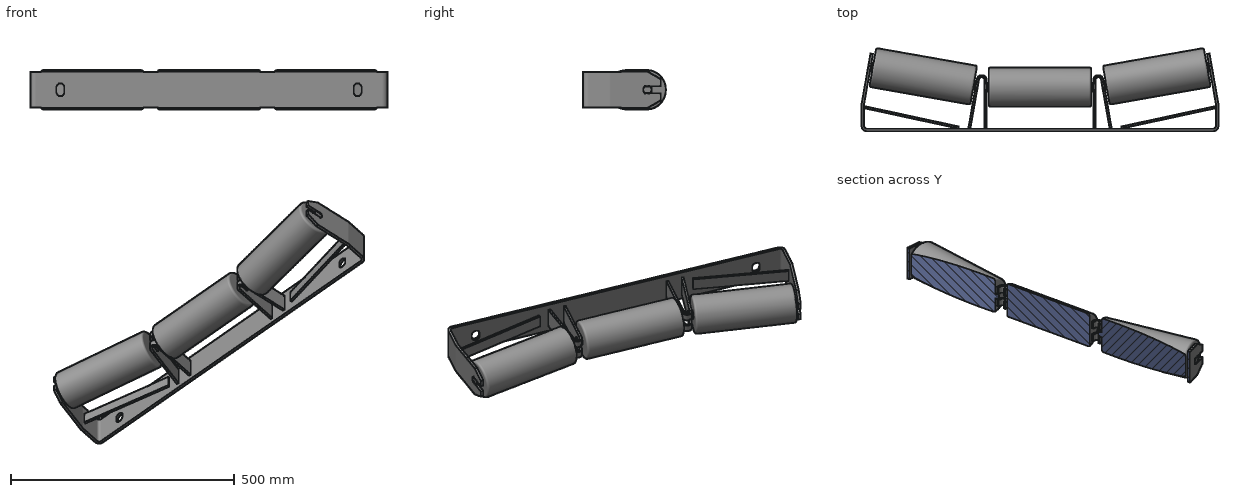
import cadquery as cq
import math

FRAME_SHEET = 6.0
INNER_SHEET = 5.0
BEND_INNER_RADIUS = 6.0

ROLLER_DIAMETER = 89.0
ROLLER_LENGTH = 230.0
ROLLER_EDGE_RADIUS = 5.0
SIDE_GAP = 4.5
TILT = 10.0
CENTRE_AXIS_Y = 99.0
WING_X = 261.6
WING_Y = 123.13

SHAFT_DIAMETER = 20.0
SHAFT_FLATS = 14.0
SLOT_WIDTH = 16.0
PLATE_NEAR = ROLLER_LENGTH / 2 + SIDE_GAP
WALL_FAR = PLATE_NEAR + FRAME_SHEET
SHAFT_HALF_LENGTH = PLATE_NEAR + INNER_SHEET

FRAME_LENGTH = 800.0
FRAME_WIDTH = 80.0
FRAME_BEND_RADIUS = BEND_INNER_RADIUS + FRAME_SHEET
WALL_ABOVE_AXIS = 30.0
WALL_CORNER_RUN = 28.0
WALL_CORNER_DROP = 16.0
MOUNT_SLOT_X = 333.0
MOUNT_SLOT_WIDTH = 18.0
MOUNT_SLOT_HEIGHT = 28.0

LOOP_OUTER_RADIUS = BEND_INNER_RADIUS + INNER_SHEET
LOOP_WIDTH = 50.0

BRACE_TILT = 12.2
BRACE_WIDTH = 30.0
BRACE_FOOT_X = 183.0

CUT_MARGIN = 3.0
BEND_SEARCH = 1.0

SIN_TILT = math.sin(math.radians(TILT))
COS_TILT = math.cos(math.radians(TILT))


def wing_point(along, across):
    """XY point of the right wing: along its axis (outward) and across it (toward +Y)."""
    x = WING_X + along * COS_TILT - across * SIN_TILT
    y = WING_Y + along * SIN_TILT + across * COS_TILT
    return x, y


def across_at_x(along, x):
    """Across coordinate where the plate face at `along` crosses the given X."""
    return (WING_X + along * COS_TILT - x) / SIN_TILT


def across_at_y(along, y):
    """Across coordinate where the plate face at `along` crosses the given Y."""
    return (y - WING_Y - along * SIN_TILT) / COS_TILT


def to_wing(body):
    """Move a body built about the origin, axis along X, to the right wing."""
    return body.rotate((0, 0, 0), (0, 0, 1), TILT).translate((WING_X, WING_Y, 0))


def to_centre(body):
    """Move a body built about the origin, axis along X, to the centre roller."""
    return body.translate((0, CENTRE_AXIS_Y, 0))


def mirrored(body):
    """Copy of a right-hand body on the left side."""
    return body.mirror("YZ")


def shaft_rod(half_length):
    """Round rod along X, centred on the origin."""
    return (
        cq.Workplane("YZ", origin=(-half_length, 0, 0))
        .circle(SHAFT_DIAMETER / 2)
        .extrude(2 * half_length)
    )


def roller():
    """Drum with its shaft, axis along X, centred on the origin.

    The shaft is round to halfway across the side gap and flatted from there to its ends.
    """
    drum = (
        cq.Workplane("YZ", origin=(-ROLLER_LENGTH / 2, 0, 0))
        .circle(ROLLER_DIAMETER / 2)
        .extrude(ROLLER_LENGTH)
        .edges("%CIRCLE")
        .fillet(ROLLER_EDGE_RADIUS)
    )
    shaft = shaft_rod(SHAFT_HALF_LENGTH)
    flats = cq.Workplane("XY").box(2 * SHAFT_HALF_LENGTH, SHAFT_DIAMETER, SHAFT_FLATS)
    round_part = shaft_rod((ROLLER_LENGTH + SIDE_GAP) / 2)
    return drum.union(round_part.union(shaft.intersect(flats)))


def shaft_slot(start, end):
    """Cutter for a slot open toward +Y whose round bottom seats the shaft, axis at the origin."""
    radius = SHAFT_DIAMETER / 2
    half_width = SLOT_WIDTH / 2
    arc_start = -math.sqrt(radius**2 - half_width**2)
    return (
        cq.Workplane("YZ", origin=(start, 0, 0))
        .moveTo(arc_start, -half_width)
        .threePointArc((-radius, 0), (arc_start, half_width))
        .lineTo(ROLLER_DIAMETER, half_width)
        .lineTo(ROLLER_DIAMETER, -half_width)
        .close()
        .extrude(end - start)
    )


def frame_outline(inset, along, radius):
    """Right half of the frame, filled from the centre plane out to one face of the sheet."""
    side_x = FRAME_LENGTH / 2 - inset
    bend = wing_point(along, across_at_x(along, side_x))
    tip = wing_point(along, WALL_ABOVE_AXIS)
    wing_top = wing_point(0, WALL_ABOVE_AXIS)
    bends = cq.selectors.BoxSelector(
        (side_x - BEND_SEARCH, inset - BEND_SEARCH, -BEND_SEARCH),
        (side_x + BEND_SEARCH, bend[1] + BEND_SEARCH, BEND_SEARCH),
    )
    return (
        cq.Workplane("XY", origin=(0, 0, -FRAME_WIDTH / 2))
        .polyline([(0, inset), (side_x, inset), bend, tip, wing_top, (0, wing_top[1])])
        .close()
        .extrude(FRAME_WIDTH)
        .edges(bends)
        .fillet(radius)
    )


def wall_corner(side):
    """Cutter for the slanted corner of the side wall at the +Z (side 1) or -Z (side -1) edge."""
    edge_z = side * FRAME_WIDTH / 2
    return (
        cq.Workplane("YZ", origin=(PLATE_NEAR - CUT_MARGIN, 0, 0))
        .moveTo(WALL_ABOVE_AXIS, edge_z)
        .lineTo(WALL_ABOVE_AXIS - WALL_CORNER_RUN, edge_z)
        .lineTo(WALL_ABOVE_AXIS, edge_z - side * WALL_CORNER_DROP)
        .close()
        .extrude(FRAME_SHEET + 2 * CUT_MARGIN)
    )


def mount_slot():
    """Cutter for the upright mounting slot in the right half of the base."""
    return (
        cq.Workplane("XZ")
        .center(MOUNT_SLOT_X, 0)
        .slot2D(MOUNT_SLOT_HEIGHT, MOUNT_SLOT_WIDTH, 90)
        .extrude(-FRAME_SHEET)
    )


def frame():
    """Base strip with both ends bent up and leaned inward to carry the wing shafts."""
    half = frame_outline(0, WALL_FAR, FRAME_BEND_RADIUS)
    half = half.cut(frame_outline(FRAME_SHEET, PLATE_NEAR, BEND_INNER_RADIUS))
    for side in (1, -1):
        half = half.cut(to_wing(wall_corner(side)))
    half = half.cut(to_wing(shaft_slot(PLATE_NEAR - CUT_MARGIN, WALL_FAR + CUT_MARGIN)))
    half = half.cut(mount_slot())
    return half.union(mirrored(half))


def loop_outline(inset):
    """Right loop, filled up to one face of the sheet."""
    radius = LOOP_OUTER_RADIUS - inset
    bend_x = PLATE_NEAR + LOOP_OUTER_RADIUS
    bend_along = -PLATE_NEAR - LOOP_OUTER_RADIUS
    bend_across = across_at_x(bend_along, bend_x)
    bend_y = wing_point(bend_along, bend_across)[1]
    leaning = -PLATE_NEAR - inset
    crest_angle = math.radians(90 + TILT / 2)
    crest = (bend_x + radius * math.cos(crest_angle), bend_y + radius * math.sin(crest_angle))
    return (
        cq.Workplane("XY", origin=(0, 0, -LOOP_WIDTH / 2))
        .moveTo(PLATE_NEAR + inset, FRAME_SHEET)
        .lineTo(PLATE_NEAR + inset, bend_y)
        .threePointArc(crest, wing_point(leaning, bend_across))
        .lineTo(*wing_point(leaning, across_at_y(leaning, FRAME_SHEET)))
        .close()
        .extrude(LOOP_WIDTH)
    )


def loop():
    """Folded strip on the base: one leg carries the centre shaft, the other a wing shaft."""
    strip = loop_outline(0).cut(loop_outline(INNER_SHEET))
    bend_middle = PLATE_NEAR + LOOP_OUTER_RADIUS
    strip = strip.cut(to_centre(shaft_slot(PLATE_NEAR - CUT_MARGIN, bend_middle)))
    return strip.cut(to_wing(shaft_slot(-bend_middle, -PLATE_NEAR + CUT_MARGIN)))


def brace():
    """Flat bar whose lower edge rests on the base and whose far end meets the side wall."""
    angle = math.radians(BRACE_TILT)
    reach = FRAME_LENGTH / 2 - FRAME_SHEET - BRACE_FOOT_X
    length = reach / math.cos(angle)
    return (
        cq.Workplane("XY", origin=(0, 0, -BRACE_WIDTH / 2))
        .rect(length, INNER_SHEET, centered=False)
        .extrude(BRACE_WIDTH)
        .rotate((0, 0, 0), (0, 0, 1), BRACE_TILT)
        .translate((BRACE_FOOT_X, FRAME_SHEET, 0))
    )


right_bodies = [to_wing(roller()), loop(), brace()]

bodies = [frame().val(), to_centre(roller()).val()]
for body in right_bodies:
    bodies.append(body.val())
    bodies.append(mirrored(body).val())

result = cq.Compound.makeCompound(bodies)